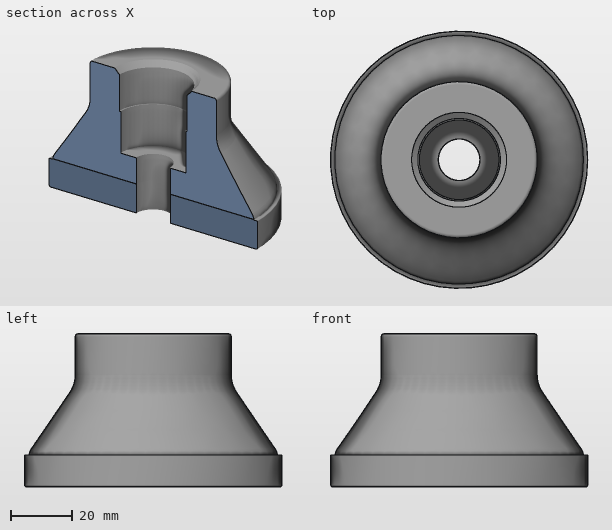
import cadquery as cq
import math

total_height = 50.0
pad_radius = 84.0 / 2
pad_height = 10.4
pad_bottom_fillet = 0.6
pad_top_fillet = 0.25

neck_radius = 51.0 / 2
neck_bottom_z = 36.5
neck_top_fillet = 1.0
cone_angle = math.radians(34.3)
throat_fillet = 10.0
foot_band_height = 2.0
housing_base_radius = 40.6

bolt_hole_radius = 13.5 / 2
socket_radius = 27.0 / 2
lower_socket_radius = 26.0 / 2
socket_chamfer = 2.0
socket_step_z = 35.0
socket_floor_z = 20.0


def make_housing_exterior():
    """Solid of revolution: straight neck, flared cone and rounded foot."""
    throat_center_r = neck_radius + throat_fillet

    def throat_point(angle):
        return (
            throat_center_r - throat_fillet * math.cos(angle),
            neck_bottom_z - throat_fillet * math.sin(angle),
        )

    cone_top_r, cone_top_z = throat_point(cone_angle)
    cone_bottom_z = pad_height + foot_band_height
    cone_bottom_r = cone_top_r + (cone_top_z - cone_bottom_z) * math.tan(cone_angle)
    profile = (
        cq.Workplane("XZ")
        .moveTo(0, total_height)
        .lineTo(neck_radius, total_height)
        .lineTo(neck_radius, neck_bottom_z)
        .threePointArc(throat_point(cone_angle / 2), (cone_top_r, cone_top_z))
        .lineTo(cone_bottom_r, cone_bottom_z)
        .tangentArcPoint((housing_base_radius, pad_height), relative=False)
        .lineTo(0, pad_height)
        .close()
    )
    body = profile.revolve(360, (0, 0), (0, 1))
    return body.faces(">Z").edges().fillet(neck_top_fillet)


def make_socket_cutter():
    """Stepped socket with a chamfered mouth, followed by the bolt hole."""
    return (
        cq.Workplane("XZ")
        .moveTo(0, total_height)
        .lineTo(socket_radius + socket_chamfer, total_height)
        .lineTo(socket_radius, total_height - socket_chamfer)
        .lineTo(socket_radius, socket_step_z)
        .lineTo(lower_socket_radius, socket_step_z)
        .lineTo(lower_socket_radius, socket_floor_z)
        .lineTo(bolt_hole_radius, socket_floor_z)
        .lineTo(bolt_hole_radius, pad_height)
        .lineTo(0, pad_height)
        .close()
        .revolve(360, (0, 0), (0, 1))
    )


def make_housing():
    return make_housing_exterior().cut(make_socket_cutter())


def make_pad():
    """Round pad under the housing, with the bolt hole running through it."""
    disc = cq.Workplane("XY").circle(pad_radius).extrude(pad_height)
    disc = disc.faces("<Z").edges().fillet(pad_bottom_fillet)
    disc = disc.faces(">Z").edges().fillet(pad_top_fillet)
    bolt_hole = cq.Workplane("XY").circle(bolt_hole_radius).extrude(pad_height)
    return disc.cut(bolt_hole)


housing = make_housing()
pad = make_pad()
result = cq.Compound.makeCompound([housing.val(), pad.val()])